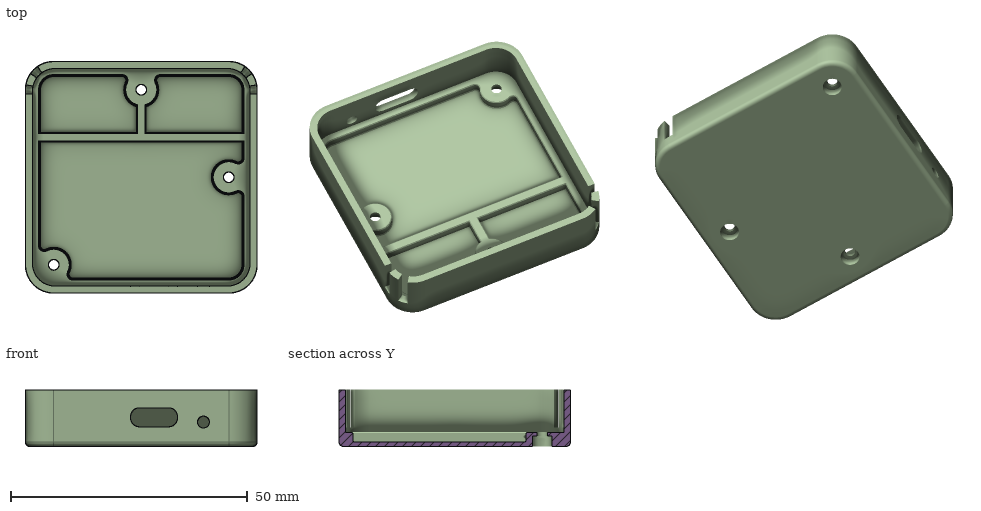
import cadquery as cq
import math

SIDE = 49.0
HEIGHT = 12.0
CORNER_RADIUS = 6.0
WALL = 1.5
CAVITY_CORNER_RADIUS = 4.8
BOTTOM_FILLET = 1.0

CAVITY_FLOOR_Z = 3.0
POCKET_FLOOR_Z = 1.0
LEDGE = 1.5
EDGE_CHAMFER = 0.2

BOSS_OFFSET = SIDE / 2 - CORNER_RADIUS
BOSS_CENTERS = [(0, BOSS_OFFSET), (BOSS_OFFSET, 0), (-BOSS_OFFSET, -BOSS_OFFSET)]
BOSS_RADIUS = 3.5
BOSS_BLEND_RADIUS = 1.0
SCREW_DIAMETER = 2.2
SCREW_HEAD_DIAMETER = 4.0
SCREW_HEAD_DEPTH = 2.2

RIB_WIDTH = 2.0
CROSS_RIB_Y = 8.5

PORT_X = 2.7
PORT_Z = 6.2
PORT_LENGTH = 9.9
PORT_HEIGHT = 4.0
PORT_CORNER_RADIUS = 1.85
BUTTON_X = 13.15
BUTTON_Z = 5.2
BUTTON_DIAMETER = 2.5

SLOT_FLOOR_Z = 4.0
CORNER_SLOT_ANGLE = 20.0
SIDE_SLOT_ANGLE = 10.0
SIDE_SLOT_DROP = 0.95
DIAGONAL = 135.0
WALL_TANGENT = 180.0

INNER_SIDE = SIDE - 2 * WALL
POCKET_SIDE = INNER_SIDE - 2 * LEDGE
POCKET_DEPTH = CAVITY_FLOOR_Z - POCKET_FLOOR_Z
MATCH_TOLERANCE = 0.001


def rounded_block(side, radius, bottom_z, top_z):
    """Square block centred on Z with rounded vertical corners."""
    block = cq.Workplane("XY").workplane(offset=bottom_z).rect(side, side).extrude(top_z - bottom_z)
    return block.edges("|Z").fillet(radius)


def make_case():
    """Open box with rounded corners and a rounded bottom edge."""
    outer = rounded_block(SIDE, CORNER_RADIUS, 0, HEIGHT).faces("<Z").edges().fillet(BOTTOM_FILLET)
    return outer.cut(rounded_block(INNER_SIDE, CAVITY_CORNER_RADIUS, CAVITY_FLOOR_Z, HEIGHT))


def make_bosses():
    return (
        cq.Workplane("XY")
        .workplane(offset=POCKET_FLOOR_Z)
        .pushPoints(BOSS_CENTERS)
        .circle(BOSS_RADIUS)
        .extrude(POCKET_DEPTH)
    )


def boss_junctions(edge):
    """True for a vertical edge where a boss runs into the pocket wall."""
    point = edge.Center()
    distances = [math.hypot(point.x - x, point.y - y) for x, y in BOSS_CENTERS]
    return any(abs(distance - BOSS_RADIUS) < MATCH_TOLERANCE for distance in distances)


def make_pockets():
    """Volume of the pockets: chamfered at the floor around walls and bosses, square at the ribs."""
    corner_radius = CORNER_RADIUS - WALL - LEDGE
    pockets = rounded_block(POCKET_SIDE, corner_radius, POCKET_FLOOR_Z, CAVITY_FLOOR_Z).cut(make_bosses())
    junctions = pockets.edges("|Z").filter(boss_junctions)
    pockets = junctions.fillet(BOSS_BLEND_RADIUS)
    pockets = pockets.faces("<Z").edges().chamfer(EDGE_CHAMFER)

    rib_base = cq.Workplane("XY").workplane(offset=POCKET_FLOOR_Z)
    cross_rib = rib_base.center(0, CROSS_RIB_Y).rect(POCKET_SIDE, RIB_WIDTH).extrude(POCKET_DEPTH)
    stem_length = BOSS_OFFSET - CROSS_RIB_Y
    stem_base = rib_base.center(0, CROSS_RIB_Y + stem_length / 2)
    stem_rib = stem_base.rect(RIB_WIDTH, stem_length).extrude(POCKET_DEPTH)
    return pockets.cut(cross_rib).cut(stem_rib)


def on_pocket_rim(edge):
    """True for an edge of the cavity floor that lies inside the ledge."""
    box = edge.BoundingBox()
    reach = max(abs(box.xmin), abs(box.xmax), abs(box.ymin), abs(box.ymax))
    return reach < (POCKET_SIDE + LEDGE) / 2


def cut_pockets(case):
    """Sink the pockets and chamfer their top edges."""
    case = case.cut(make_pockets())
    floor = cq.selectors.BoxSelector(
        (-SIDE, -SIDE, CAVITY_FLOOR_Z - EDGE_CHAMFER),
        (SIDE, SIDE, CAVITY_FLOOR_Z + EDGE_CHAMFER),
        boundingbox=True,
    )
    return case.edges(floor).filter(on_pocket_rim).chamfer(EDGE_CHAMFER)


def cut_screw_holes(case):
    """Through holes with head recesses in the underside."""
    points = cq.Workplane("XY").pushPoints(BOSS_CENTERS)
    shanks = points.circle(SCREW_DIAMETER / 2).extrude(CAVITY_FLOOR_Z)
    heads = points.circle(SCREW_HEAD_DIAMETER / 2).extrude(SCREW_HEAD_DEPTH)
    return case.cut(shanks).cut(heads)


def cut_front_openings(case):
    """Rounded port and round button hole through the -Y wall."""
    front = cq.Workplane("XZ", origin=(0, -SIDE / 2 + WALL, 0))
    port = front.center(PORT_X, PORT_Z).rect(PORT_LENGTH, PORT_HEIGHT).extrude(WALL)
    port = port.edges("|Y").fillet(PORT_CORNER_RADIUS)
    button = front.center(BUTTON_X, BUTTON_Z).circle(BUTTON_DIAMETER / 2).extrude(WALL)
    return case.cut(port).cut(button)


def cut_corner_slots(case):
    """Two slots at each +Y corner, their curved-wall sides radial to the corner centre."""
    reach = 2 * CORNER_RADIUS

    def ray(angle):
        return (reach * math.cos(math.radians(angle)), reach * math.sin(math.radians(angle)))

    corner = cq.Workplane("XY", origin=(-BOSS_OFFSET, BOSS_OFFSET, SLOT_FLOOR_Z))
    half_angle = CORNER_SLOT_ANGLE / 2
    corner_outline = [(0, 0), ray(DIAGONAL - half_angle), ray(DIAGONAL + half_angle)]
    side_top = ray(WALL_TANGENT - SIDE_SLOT_ANGLE)
    side_outline = [(0, 0), side_top, (-reach, -SIDE_SLOT_DROP), (0, -SIDE_SLOT_DROP)]
    for outline in (corner_outline, side_outline):
        slot = corner.polyline(outline).close().extrude(HEIGHT - SLOT_FLOOR_Z)
        case = case.cut(slot).cut(slot.mirror("YZ"))
    return case


case = make_case()
case = cut_pockets(case)
case = cut_screw_holes(case)
case = cut_front_openings(case)
result = cut_corner_slots(case)